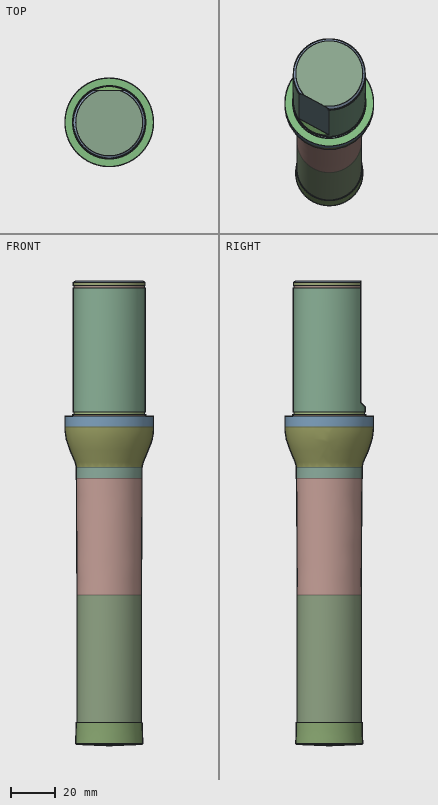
import cadquery as cq

SHANK_D = 32.0
GROOVE_D = 31.5
TOP_Z = 207.0
TOP_FACE_D = 29.8
TOP_CHAMFER_Z = 206.2
GROOVE_TOP_Z = 205.0
GROOVE_BOTTOM_Z = 203.7
UNDERCUT_TOP_Z = 148.6
SHOULDER_D = 32.7
SHOULDER_TOP_Z = 147.4
FLAT_Y = 14.0
FLAT_START_Z = 151.0

COLLAR_D = 39.5
COLLAR_TOP_Z = 146.8
FLARE_TOP_Z = 142.0
FLARE_MID_D = 37.0
FLARE_MID_Z = 134.3
FLARE_LOW_D = 31.0
FLARE_LOW_Z = 126.9
NECK_D = 29.4
NECK_TOP_Z = 124.0
NECK_BOTTOM_Z = 119.0

BARREL_D = 28.8
TAPER_BOTTOM_Z = 67.0

HEAD_TOP_Z = 10.4
HEAD_D = 29.4
RIM_D = 30.0
RIM_Z = 1.0
TIP_FACE_D = 29.0
TIP_FACE_Z = 0.6


def make_holder():
    """Turned holder with shank, collar, neck and barrel, and a flat on the +Y side of the shank."""
    flare = [
        (FLARE_LOW_D / 2, FLARE_LOW_Z),
        (FLARE_MID_D / 2, FLARE_MID_Z),
        (COLLAR_D / 2, FLARE_TOP_Z),
    ]
    upward = (0, 1)
    shank_r = SHANK_D / 2
    groove_r = GROOVE_D / 2
    barrel_r = BARREL_D / 2
    body = (
        cq.Workplane("XZ")
        .moveTo(0, HEAD_TOP_Z)
        .lineTo(barrel_r, HEAD_TOP_Z)
        .lineTo(barrel_r, TAPER_BOTTOM_Z)
        .lineTo(NECK_D / 2, NECK_BOTTOM_Z)
        .lineTo(NECK_D / 2, NECK_TOP_Z)
        .spline(flare, tangents=[upward, upward], includeCurrent=True)
        .lineTo(COLLAR_D / 2, COLLAR_TOP_Z)
        .lineTo(SHOULDER_D / 2, COLLAR_TOP_Z)
        .lineTo(SHOULDER_D / 2, SHOULDER_TOP_Z)
        .lineTo(groove_r, SHOULDER_TOP_Z)
        .lineTo(groove_r, UNDERCUT_TOP_Z)
        .lineTo(shank_r, UNDERCUT_TOP_Z)
        .lineTo(shank_r, GROOVE_BOTTOM_Z)
        .lineTo(groove_r, GROOVE_BOTTOM_Z)
        .lineTo(groove_r, GROOVE_TOP_Z)
        .lineTo(shank_r, GROOVE_TOP_Z)
        .lineTo(shank_r, TOP_CHAMFER_Z)
        .lineTo(TOP_FACE_D / 2, TOP_Z)
        .lineTo(0, TOP_Z)
        .close()
        .revolve(360, (0, 0, 0), (0, 1, 0))
    )
    return body.cut(make_flat_cutter())


def make_flat_cutter():
    """Prism that removes the flat and its 45 degree run-out."""
    flat_depth = SHANK_D / 2 - FLAT_Y
    return (
        cq.Workplane("YZ")
        .moveTo(SHANK_D / 2, FLAT_START_Z)
        .lineTo(FLAT_Y, FLAT_START_Z + flat_depth)
        .lineTo(FLAT_Y, TOP_Z)
        .lineTo(SHANK_D / 2, TOP_Z)
        .close()
        .extrude(SHANK_D / 2, both=True)
    )


def make_cutting_head():
    """Turned head that widens toward its lower rim and ends in a shallow cone."""
    return (
        cq.Workplane("XZ")
        .moveTo(0, 0)
        .lineTo(TIP_FACE_D / 2, TIP_FACE_Z)
        .lineTo(RIM_D / 2, RIM_Z)
        .lineTo(HEAD_D / 2, HEAD_TOP_Z)
        .lineTo(0, HEAD_TOP_Z)
        .close()
        .revolve(360, (0, 0, 0), (0, 1, 0))
    )


holder = make_holder()
cutting_head = make_cutting_head()
result = cq.Compound.makeCompound([holder.val(), cutting_head.val()])